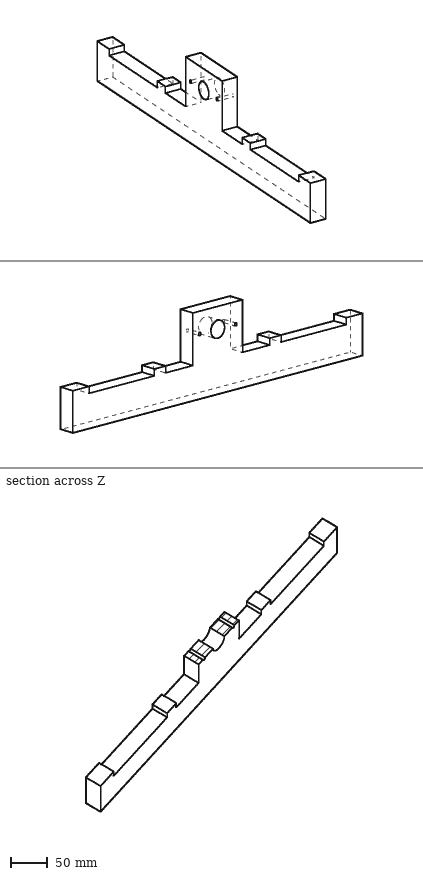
import cadquery as cq

length = 540.0
thickness = 25.0
bar_height = 50.0

stop_top = 60.0
end_stop_width = 30.0
inner_stop_width = 21.0
inner_stop_offset = 107.5

plate_width = 92.5
plate_top = 125.0

hole_height = 92.5
bore_diameter = 25.5
screw_hole_diameter = 4.5
screw_hole_offset = 33.5


def block(center_x, width, top):
    """Full-thickness block standing on the underside of the bar."""
    solid = cq.Workplane("XY").box(width, thickness, top, centered=(True, False, False))
    return solid.translate((center_x, 0, 0))


def cross_hole(center_x, diameter):
    """Cylinder that cuts through the plate along Y."""
    return (
        cq.Workplane("XZ")
        .center(center_x, hole_height)
        .circle(diameter / 2)
        .extrude(-thickness)
    )


body = block(0, length, bar_height).union(block(0, plate_width, plate_top))

end_stop_offset = (length - end_stop_width) / 2
for side in (-1, 1):
    body = body.union(block(side * end_stop_offset, end_stop_width, stop_top))
    body = body.union(block(side * inner_stop_offset, inner_stop_width, stop_top))

body = body.cut(cross_hole(0, bore_diameter))
for side in (-1, 1):
    body = body.cut(cross_hole(side * screw_hole_offset, screw_hole_diameter))

result = body